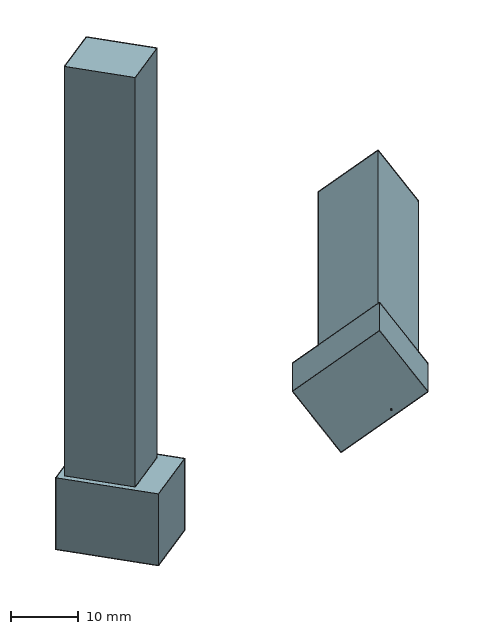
import cadquery as cq

total_height = 80.0
base_length = 16.0
base_width = 12.0
base_top = 12.0

column_length = 11.0
column_width = 10.0
column_margin = (base_width - column_width) / 2

nub_height = 0.1
nub_diameter = 0.2
nub_x = -2.0
nub_y = -column_width / 2

base = (
    cq.Workplane("XY", origin=(0, 0, nub_height))
    .rect(base_length, base_width)
    .extrude(base_top - nub_height)
)

column_x = -base_length / 2 + column_margin + column_length / 2
column = (
    cq.Workplane("XY", origin=(column_x, 0, base_top))
    .rect(column_length, column_width)
    .extrude(total_height - base_top)
)

nub = cq.Workplane("XY", origin=(nub_x, nub_y, 0)).circle(nub_diameter / 2).extrude(nub_height)

result = base.union(column).union(nub)